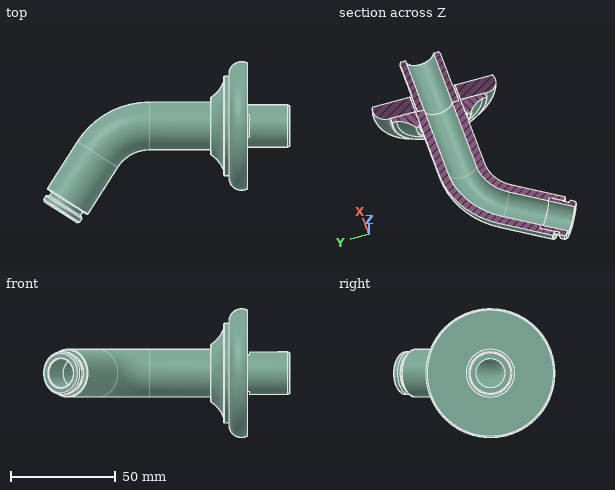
import cadquery as cq
import math


TUBE_R = 11.53
BORE_R = 7.0
BEND_START_X = -47.1
BEND_R = 29.6
BEND_ANGLE = 57.5
OUTLET_LENGTH = 27.0
TUBE_CHAMFER = 0.4
MOUTH_CHAMFER = 0.5

SPIGOT_R = 10.3
NECK_R = 8.9
SPIGOT_PROJECTION = 5.9
HEAD_LENGTH = 3.7
SHOULDER_RUN = 0.8
SHOULDER_RISE = 1.0
TIP_CHAMFER = 0.8
BORE_CHAMFER = 0.4
SPIGOT_DEPTH = 7.2

FLANGE_R = 31.0
FLANGE_EDGE_R = 6.2
FLANGE_THICKNESS = 9.0
FLANGE_EDGE_X = FLANGE_EDGE_R - FLANGE_THICKNESS
FLANGE_FACE_R = FLANGE_R - FLANGE_EDGE_R
FLANGE_BACK_R = FLANGE_FACE_R + math.sqrt(FLANGE_EDGE_R**2 - FLANGE_EDGE_X**2)

COLLAR_R = 24.0
RIM_LENGTH = 2.5
FLARE_R = 21.5
NOSE_R = 14.0
FLARE_LENGTH = 6.3
FLARE_SAG = 0.8
COLLAR_CHAMFER = 0.4
RECESS_R = 12.1
RECESS_DEPTH = 1.2

NIPPLE_R = 10.3
NIPPLE_PROJECTION = 20.3
NIPPLE_DEPTH = FLANGE_THICKNESS
NIPPLE_CHAMFER_RUN = 1.2
NIPPLE_CHAMFER_RISE = 0.6
FLAT_HALF_HEIGHT = 8.9
FLAT_LENGTH = 0.8

TURN = math.radians(BEND_ANGLE)
BEND_MID = (
    BEND_START_X - BEND_R * math.sin(TURN / 2),
    -BEND_R * (1 - math.cos(TURN / 2)),
)
BEND_END = (
    BEND_START_X - BEND_R * math.sin(TURN),
    -BEND_R * (1 - math.cos(TURN)),
)
OUTLET_DIRECTION = (-math.cos(TURN), -math.sin(TURN), 0)
TUBE_END = tuple(
    place + OUTLET_LENGTH * step for place, step in zip(BEND_END, OUTLET_DIRECTION)
)


def outlet_plane():
    """Plane of the tube's outlet end, with its normal along the outlet."""
    return cq.Plane(origin=(*TUBE_END, 0), xDir=(0, 0, 1), normal=OUTLET_DIRECTION)


def revolve_about_x(profile):
    return profile.close().revolve(360, (0, 0, 0), (1, 0, 0))


def cylinder_along_x(start, end, radius):
    return cq.Workplane("YZ", origin=(start, 0, 0)).circle(radius).extrude(end - start)


def sweep_along_arm(radius):
    path = (
        cq.Workplane("XY")
        .moveTo(0, 0)
        .lineTo(BEND_START_X, 0)
        .threePointArc(BEND_MID, BEND_END)
        .lineTo(*TUBE_END)
    )
    return cq.Workplane("YZ").circle(radius).sweep(path)


def make_tube():
    tube = sweep_along_arm(TUBE_R)
    tube = tube.faces(cq.selectors.NearestToPointSelector((*TUBE_END, 0))).chamfer(TUBE_CHAMFER)
    tube = tube.cut(sweep_along_arm(BORE_R))
    spigot_socket = cq.Workplane(outlet_plane()).circle(NECK_R).extrude(-SPIGOT_DEPTH)
    mouth = (
        cq.Workplane(outlet_plane())
        .circle(NECK_R + MOUTH_CHAMFER)
        .workplane(offset=-MOUTH_CHAMFER)
        .circle(NECK_R)
        .loft()
    )
    nipple_socket = cylinder_along_x(-NIPPLE_DEPTH, 0, NIPPLE_R)
    return tube.cut(spigot_socket).cut(mouth).cut(nipple_socket)


def make_spigot():
    head_start = SPIGOT_PROJECTION - HEAD_LENGTH
    profile_plane = cq.Plane(origin=(*TUBE_END, 0), xDir=(0, 0, 1),
                             normal=cq.Vector(0, 0, 1).cross(cq.Vector(*OUTLET_DIRECTION)))
    return (
        cq.Workplane(profile_plane)
        .moveTo(BORE_R, -SPIGOT_DEPTH)
        .lineTo(NECK_R, -SPIGOT_DEPTH)
        .lineTo(NECK_R, head_start)
        .lineTo(SPIGOT_R - SHOULDER_RISE, head_start)
        .lineTo(SPIGOT_R, head_start + SHOULDER_RUN)
        .lineTo(SPIGOT_R, SPIGOT_PROJECTION - TIP_CHAMFER)
        .lineTo(SPIGOT_R - TIP_CHAMFER, SPIGOT_PROJECTION)
        .lineTo(BORE_R + BORE_CHAMFER, SPIGOT_PROJECTION)
        .lineTo(BORE_R, SPIGOT_PROJECTION - BORE_CHAMFER)
        .close()
        .revolve(360, (0, 0, 0), (0, 1, 0))
    )


def make_flange():
    return revolve_about_x(
        cq.Workplane("XY")
        .moveTo(0, TUBE_R)
        .lineTo(-FLANGE_THICKNESS, TUBE_R)
        .lineTo(-FLANGE_THICKNESS, FLANGE_FACE_R)
        .threePointArc((FLANGE_EDGE_X, FLANGE_R), (0, FLANGE_BACK_R))
    )


def make_collar():
    back = -FLANGE_THICKNESS
    rim_front = back - RIM_LENGTH
    nose = rim_front - FLARE_LENGTH
    flare_start = nose + COLLAR_CHAMFER
    chord_x = rim_front - flare_start
    chord_r = FLARE_R - NOSE_R
    chord = math.hypot(chord_x, chord_r)
    flare_mid = (
        (rim_front + flare_start) / 2 + FLARE_SAG * chord_r / chord,
        (FLARE_R + NOSE_R) / 2 - FLARE_SAG * chord_x / chord,
    )
    return revolve_about_x(
        cq.Workplane("XY")
        .moveTo(back, TUBE_R)
        .lineTo(back, COLLAR_R)
        .lineTo(rim_front + COLLAR_CHAMFER, COLLAR_R)
        .lineTo(rim_front, COLLAR_R - COLLAR_CHAMFER)
        .lineTo(rim_front, FLARE_R)
        .threePointArc(flare_mid, (flare_start, NOSE_R))
        .lineTo(nose, NOSE_R - COLLAR_CHAMFER)
        .lineTo(nose, RECESS_R)
        .lineTo(nose + RECESS_DEPTH, RECESS_R)
        .lineTo(nose + RECESS_DEPTH, TUBE_R)
    )


def make_nipple():
    nipple = revolve_about_x(
        cq.Workplane("XY")
        .moveTo(-NIPPLE_DEPTH, BORE_R)
        .lineTo(-NIPPLE_DEPTH, NIPPLE_R)
        .lineTo(NIPPLE_PROJECTION - NIPPLE_CHAMFER_RUN, NIPPLE_R)
        .lineTo(NIPPLE_PROJECTION, NIPPLE_R - NIPPLE_CHAMFER_RISE)
        .lineTo(NIPPLE_PROJECTION, BORE_R)
    )
    for side in (-1, 1):
        flat = cq.Workplane("XY").box(
            FLAT_LENGTH, 2 * NIPPLE_R, NIPPLE_R, centered=(False, True, True)
        )
        nipple = nipple.cut(flat.translate((0, 0, side * (FLAT_HALF_HEIGHT + NIPPLE_R / 2))))
    return nipple


tube = make_tube()
spigot = make_spigot()
flange = make_flange()
collar = make_collar()
nipple = make_nipple()

bodies = [tube, spigot, flange, collar, nipple]
result = cq.Compound.makeCompound([body.solids().val() for body in bodies])